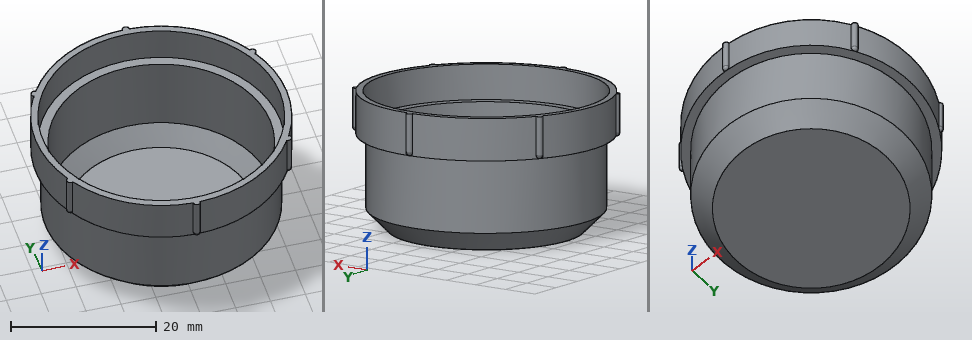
import cadquery as cq
import math

total_height = 19.5
wall = 1.0

body_diameter = 33.25
base_chamfer = 3.0

collar_diameter = 36.0
collar_height = 6.0

rib_count = 6
rib_first_angle = 90.0
rib_radius = 0.5

body_radius = body_diameter / 2
collar_radius = collar_diameter / 2
base_radius = body_radius - base_chamfer
collar_bottom = total_height - collar_height
cavity_radius = body_radius - wall
mouth_radius = collar_radius - wall
ledge_height = collar_bottom + wall

cone_inset = wall * math.sqrt(2)
floor_radius = base_radius + wall - cone_inset
cone_top = base_chamfer + cone_inset - wall


def make_cup():
    """Revolve the stepped wall section around Z."""
    section = (
        cq.Workplane("XZ")
        .moveTo(0, 0)
        .lineTo(base_radius, 0)
        .lineTo(body_radius, base_chamfer)
        .lineTo(body_radius, collar_bottom)
        .lineTo(collar_radius, collar_bottom)
        .lineTo(collar_radius, total_height)
        .lineTo(mouth_radius, total_height)
        .lineTo(mouth_radius, ledge_height)
        .lineTo(cavity_radius, ledge_height)
        .lineTo(cavity_radius, cone_top)
        .lineTo(floor_radius, wall)
        .lineTo(0, wall)
        .close()
    )
    return section.revolve(360, (0, 0, 0), (0, 1, 0))


def make_rib(angle):
    """Upright round rib centred on the collar surface, with a domed lower end."""
    dome_center = collar_bottom + rib_radius
    rib_profile = (
        cq.Workplane("XZ", origin=(collar_radius, 0, 0))
        .moveTo(0, total_height)
        .lineTo(rib_radius, total_height)
        .lineTo(rib_radius, dome_center)
        .radiusArc((0, collar_bottom), rib_radius)
        .close()
    )
    rib = rib_profile.revolve(360, (0, 0, 0), (0, 1, 0))
    return rib.rotate((0, 0, 0), (0, 0, 1), angle)


result = make_cup()
for index in range(rib_count):
    result = result.union(make_rib(rib_first_angle + index * 360 / rib_count))